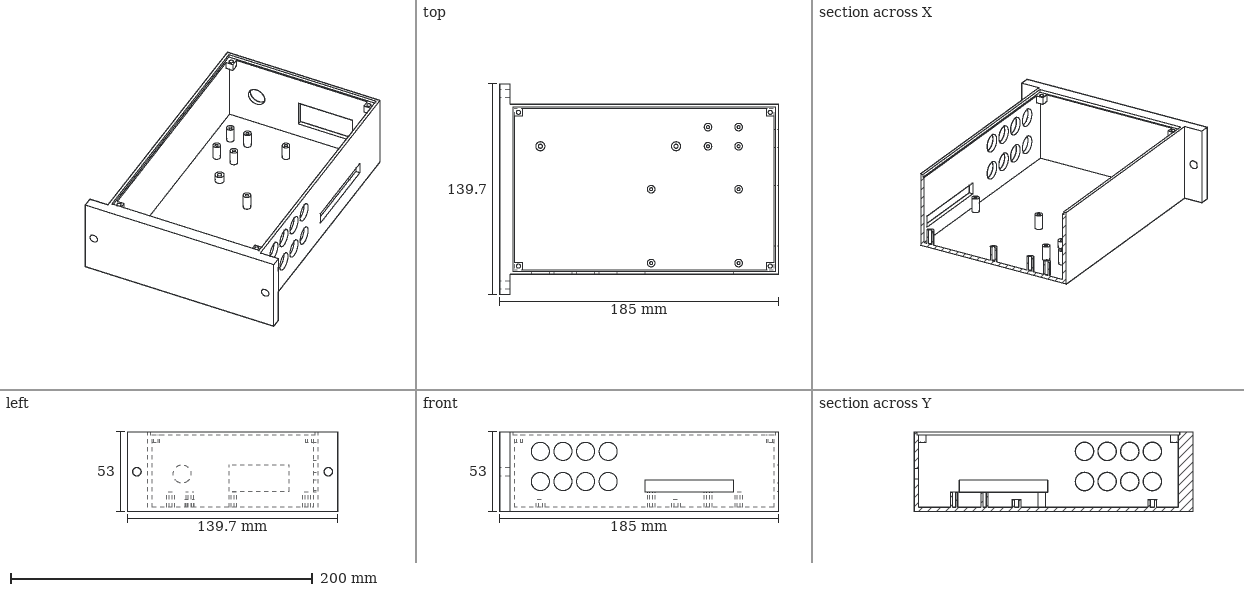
import cadquery as cq

length = 185.0
height = 53.0

panel_width = 139.7
panel_thickness = 7.0
panel_hole_diameter = 5.5
panel_hole_spacing = 127.0

box_width = 113.0
floor_thickness = 3.0
wall_thickness = 3.0
cavity_front_x = panel_thickness + wall_thickness
cavity_rear_x = length - wall_thickness
cavity_width = box_width - 2 * wall_thickness

rim_thickness = 2.0
rebate_depth = 2.0
rebate_front_x = panel_thickness + rim_thickness
rebate_rear_x = length - rim_thickness
rebate_width = box_width - 2 * rim_thickness
rebate_floor_z = height - rebate_depth

post_size = 6.0
post_height = 5.0
post_hole_diameter = 2.75
post_hole_inset = 3.5

tall_standoff_diameter = 5.0
tall_standoff_height = 10.0
tall_standoff_bore = 2.0
main_board_rear_x = 158.5
main_board_length = 58.0
main_board_width = 49.0
small_board_length = 20.32
small_board_width = 12.7
small_board_inner_y = 28.5

short_standoff_diameter = 6.0
short_standoff_height = 5.0
short_standoff_bore = 2.75
short_standoff_front_x = 27.0
short_standoff_spacing = 90.0

connector_hole_diameter = 12.0
connector_first_x = 27.0
connector_pitch = 15.0
connector_columns = 4
connector_row_heights = (20.0, 40.0)
slot_start_x = 96.5
slot_length = 58.5
slot_bottom_z = 12.9
slot_height = 8.0

cable_hole_diameter = 12.0
cable_hole_y = 33.5
cable_hole_z = 25.0
socket_left_y = 2.5
socket_width = 40.0
socket_bottom_z = 13.3
socket_height = 17.7


def block(x_range, y_range, z_range):
    """Axis-aligned box between the given (low, high) limits."""
    sizes = [high - low for low, high in (x_range, y_range, z_range)]
    corner = (x_range[0], y_range[0], z_range[0])
    return cq.Workplane("XY").box(*sizes, centered=False).translate(corner)


def centred_range(width):
    return (-width / 2, width / 2)


def cylinder_along_z(x, y, bottom_z, diameter, cylinder_height):
    return cq.Workplane("XY", origin=(x, y, bottom_z)).circle(diameter / 2).extrude(cylinder_height)


def cylinder_along_x(start_x, y, z, diameter, cylinder_length):
    return cq.Workplane("YZ", origin=(start_x, y, z)).circle(diameter / 2).extrude(cylinder_length)


def make_shell():
    """Panel and open-topped box with the lid rebate."""
    panel = block((0, panel_thickness), centred_range(panel_width), (0, height))
    body = block((0, length), centred_range(box_width), (0, height))
    cavity = block((cavity_front_x, cavity_rear_x), centred_range(cavity_width), (floor_thickness, height))
    rebate = block((rebate_front_x, rebate_rear_x), centred_range(rebate_width), (rebate_floor_z, height))
    return panel.union(body).cut(cavity).cut(rebate)


def cut_panel_holes(part):
    for y in centred_range(panel_hole_spacing):
        part = part.cut(cylinder_along_x(0, y, height / 2, panel_hole_diameter, panel_thickness))
    return part


def add_lid_posts(part):
    """Square corner posts flush with the rebate floor, each with a screw hole."""
    post_bottom_z = rebate_floor_z - post_height
    for corner_x, x_inward in ((rebate_front_x, 1), (rebate_rear_x, -1)):
        for corner_y, y_inward in ((-rebate_width / 2, 1), (rebate_width / 2, -1)):
            x_range = sorted((corner_x, corner_x + x_inward * post_size))
            y_range = sorted((corner_y, corner_y + y_inward * post_size))
            hole_x = corner_x + x_inward * post_hole_inset
            hole_y = corner_y + y_inward * post_hole_inset
            hole = cylinder_along_z(hole_x, hole_y, post_bottom_z, post_hole_diameter, post_height)
            part = part.union(block(x_range, y_range, (post_bottom_z, rebate_floor_z))).cut(hole)
    return part


def add_standoffs(part, points, diameter, standoff_height, bore):
    """Round standoffs on the floor, bored down to the floor."""
    for x, y in points:
        post = cylinder_along_z(x, y, floor_thickness, diameter, standoff_height)
        hole = cylinder_along_z(x, y, floor_thickness, bore, standoff_height)
        part = part.union(post.cut(hole))
    return part


def tall_standoff_points():
    main_xs = (main_board_rear_x - main_board_length, main_board_rear_x)
    small_xs = (main_board_rear_x - small_board_length, main_board_rear_x)
    main_points = [(x, y) for x in main_xs for y in (-main_board_width, 0)]
    small_ys = (small_board_inner_y, small_board_inner_y + small_board_width)
    return main_points + [(x, y) for x in small_xs for y in small_ys]


def short_standoff_points():
    xs = (short_standoff_front_x, short_standoff_front_x + short_standoff_spacing)
    return [(x, small_board_inner_y) for x in xs]


def cut_side_openings(part):
    """Two rows of round connector holes and a card slot through the -Y wall."""
    outer_y = -box_width / 2
    for column in range(connector_columns):
        x = connector_first_x + column * connector_pitch
        for z in connector_row_heights:
            plane = cq.Workplane("XZ", origin=(x, outer_y, z))
            part = part.cut(plane.circle(connector_hole_diameter / 2).extrude(-wall_thickness))
    slot = block(
        (slot_start_x, slot_start_x + slot_length),
        (outer_y, outer_y + wall_thickness),
        (slot_bottom_z, slot_bottom_z + slot_height),
    )
    return part.cut(slot)


def cut_rear_openings(part):
    """Round cable hole and rectangular socket cut-out through the rear wall."""
    cable_hole = cylinder_along_x(
        cavity_rear_x, cable_hole_y, cable_hole_z, cable_hole_diameter, wall_thickness
    )
    socket = block(
        (cavity_rear_x, length),
        (socket_left_y - socket_width, socket_left_y),
        (socket_bottom_z, socket_bottom_z + socket_height),
    )
    return part.cut(cable_hole).cut(socket)


result = make_shell()
result = cut_panel_holes(result)
result = add_lid_posts(result)
result = add_standoffs(
    result, tall_standoff_points(), tall_standoff_diameter, tall_standoff_height, tall_standoff_bore
)
result = add_standoffs(
    result, short_standoff_points(), short_standoff_diameter, short_standoff_height, short_standoff_bore
)
result = cut_side_openings(result)
result = cut_rear_openings(result)